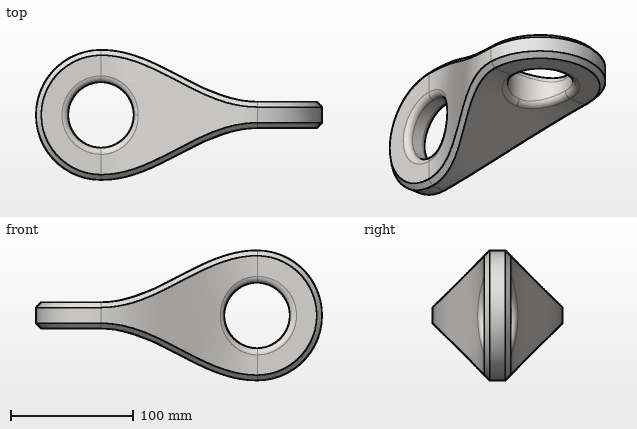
import cadquery as cq

length = 234.5
eye_diameter = 106.7
thickness = 21.8
hole_diameter = 53.5
edge_chamfer = 4.5
hole_fillet = 5.5
rim_margin = 2.3
reach_ratio = 0.37

eye_radius = eye_diameter / 2
half_thickness = thickness / 2
eye_offset = (length - eye_diameter) / 2
tangent_reach = reach_ratio * 2 * eye_offset


def paddle(plane, direction):
    """Slab with a round eye at one end, flowing through S-curves into a straight
    narrow tail; direction is +1 or -1, the X side carrying the eye."""
    eye_x = direction * eye_offset
    tail_x = -eye_x
    tail_end_x = tail_x - direction * eye_radius
    reach = direction * tangent_reach
    return (
        cq.Workplane(plane)
        .workplane(offset=-eye_radius)
        .moveTo(tail_end_x, half_thickness)
        .lineTo(tail_x, half_thickness)
        .bezier([
            (tail_x, half_thickness),
            (tail_x + reach, half_thickness),
            (eye_x - reach, eye_radius),
            (eye_x, eye_radius),
        ])
        .threePointArc((eye_x + direction * eye_radius, 0), (eye_x, -eye_radius))
        .bezier([
            (eye_x, -eye_radius),
            (eye_x - reach, -eye_radius),
            (tail_x + reach, -half_thickness),
            (tail_x, -half_thickness),
        ])
        .lineTo(tail_end_x, -half_thickness)
        .close()
        .extrude(eye_diameter)
    )


def eye_hole(plane, direction):
    """Through-hole cutter centred on one eye."""
    return (
        cq.Workplane(plane)
        .workplane(offset=-eye_radius)
        .center(direction * eye_offset, 0)
        .circle(hole_diameter / 2)
        .extrude(eye_diameter)
    )


def hole_rims(part, direction):
    """Rim edges of one hole, on both faces of its eye."""
    reach = hole_diameter / 2 + rim_margin
    x = direction * eye_offset
    return part.edges(
        cq.selectors.BoxSelector(
            (x - reach, -reach, -reach), (x + reach, reach, reach), boundingbox=True
        )
    )


body = paddle("XY", -1).intersect(paddle("XZ", 1))
body = body.edges("not (|Y or |Z)").chamfer(edge_chamfer)

result = body.cut(eye_hole("XY", -1)).cut(eye_hole("XZ", 1))
for side in (-1, 1):
    result = hole_rims(result, side).fillet(hole_fillet)